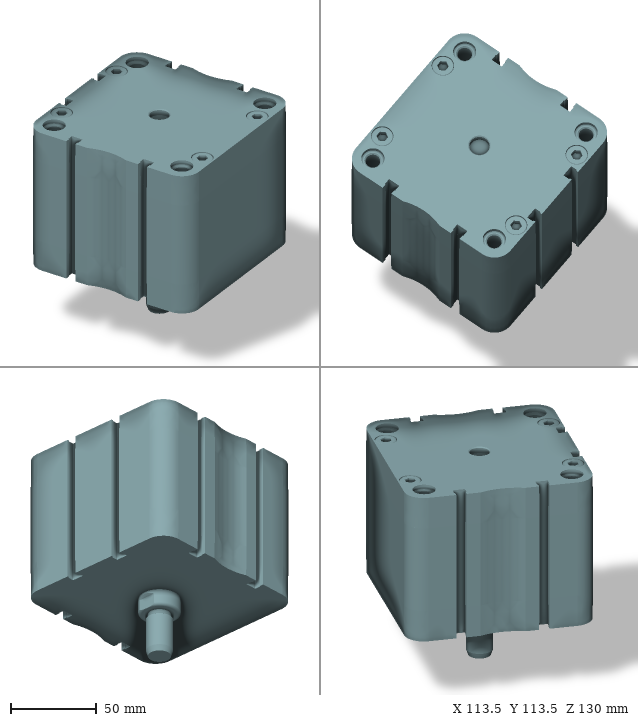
import cadquery as cq
import math

TOTAL_LENGTH = 130.0
BODY_WIDTH = 113.5
BODY_LENGTH = 92.0
CAP_LENGTH = 19.5
CAP_DRAFT = 0.5
CORNER_RADIUS = 12.0
HALF_WIDTH = BODY_WIDTH / 2

BODY_BOTTOM = TOTAL_LENGTH - BODY_LENGTH
LOWER_SEAM = BODY_BOTTOM + CAP_LENGTH
UPPER_SEAM = TOTAL_LENGTH - CAP_LENGTH
BARREL_LENGTH = UPPER_SEAM - LOWER_SEAM

DEEP_SLOT_OFFSET = 25.0
DEEP_SLOT_MOUTH = 6.0
DEEP_SLOT_INSIDE = 7.0
DEEP_SLOT_DEPTH = 6.9
DEEP_LIP_DEPTH = 3.1
SHALLOW_SLOT_OFFSET = 17.5
SHALLOW_SLOT_MOUTH = 5.8
SHALLOW_SLOT_INSIDE = 7.3
SHALLOW_SLOT_DEPTH = 5.5
SHALLOW_LIP_DEPTH = 1.7

FLUTE_WIDTH = 27.0
FLUTE_DEPTH = 2.5

MOUNT_OFFSET = 44.5
MOUNT_BORE_DIAMETER = 13.5
MOUNT_BORE_DEPTH = 2.5
MOUNT_SINK_DIAMETER = 10.1
MOUNT_HOLE_DIAMETER = 8.6

SCREW_X = 49.0
SCREW_Y = 29.4
SCREW_BORE_DIAMETER = 13.1
SCREW_HEAD_DIAMETER = 12.7
SCREW_HEAD_CHAMFER = 0.4
SCREW_HEAD_RECESS = 0.3
SCREW_GAP_DEPTH = 1.3
SOCKET_ACROSS_FLATS = 6.0
SOCKET_DEPTH = 3.9
SOCKET_SIDES = 6
SOCKET_TURN = 30

CENTRE_HOLE_DIAMETER = 12.0
CENTRE_HOLE_DEPTH = 3.9
CENTRE_SINK_DIAMETER = 13.1

ROD_DIAMETER = 25.0
ROD_EXPOSED_LENGTH = 10.3
ROD_EDGE_RADIUS = 1.8
FLATS_ACROSS = 22.0
FLATS_LENGTH = 7.5
NECK_DIAMETER = 14.0
NECK_LENGTH = 3.2
NECK_CONE_LENGTH = 0.6
THREAD_DIAMETER = 16.0
TIP_DIAMETER = 13.5
TIP_LENGTH = 3.5


def slot_cutter(mouth_width, inside_width, depth, lip_depth):
    """A T-slot sunk from the plane Y = 0 towards -Y, as long as the barrel."""
    mouth = cq.Workplane("XY").rect(mouth_width, 2 * depth).extrude(BARREL_LENGTH)
    inside = (
        cq.Workplane("XY")
        .center(0, -(depth + lip_depth) / 2)
        .rect(inside_width, depth - lip_depth)
        .extrude(BARREL_LENGTH)
    )
    return mouth.union(inside)


def flute_cutter():
    """The round-bottomed flute sunk from the plane Y = 0 towards -Y."""
    return (
        cq.Workplane("XY")
        .moveTo(-FLUTE_WIDTH / 2, 0)
        .threePointArc((0, -FLUTE_DEPTH), (FLUTE_WIDTH / 2, 0))
        .close()
        .extrude(BARREL_LENGTH)
    )


def on_face(cutter, offset, turn):
    """Move a cutter onto the +Y face, then turn it about Z to the face it cuts."""
    return cutter.translate((offset, HALF_WIDTH, 0)).rotate((0, 0, 0), (0, 0, 1), turn)


def make_barrel():
    barrel = cq.Workplane("XY").rect(BODY_WIDTH, BODY_WIDTH).extrude(BARREL_LENGTH)
    barrel = barrel.edges("|Z").fillet(CORNER_RADIUS)
    deep_slot = slot_cutter(DEEP_SLOT_MOUTH, DEEP_SLOT_INSIDE, DEEP_SLOT_DEPTH, DEEP_LIP_DEPTH)
    shallow_slot = slot_cutter(SHALLOW_SLOT_MOUTH, SHALLOW_SLOT_INSIDE, SHALLOW_SLOT_DEPTH, SHALLOW_LIP_DEPTH)
    flute = flute_cutter()
    for turn in (0, 180):
        barrel = barrel.cut(on_face(flute, 0, turn))
        for offset in (-DEEP_SLOT_OFFSET, DEEP_SLOT_OFFSET):
            barrel = barrel.cut(on_face(deep_slot, offset, turn))
    for offset in (-SHALLOW_SLOT_OFFSET, SHALLOW_SLOT_OFFSET):
        barrel = barrel.cut(on_face(shallow_slot, offset, 90))
    return barrel.translate((0, 0, LOWER_SEAM))


def mirrored_points(x, y):
    return [(sx * x, sy * y) for sx in (-1, 1) for sy in (-1, 1)]


def countersink(sink_diameter, hole_diameter, top_z):
    """A 45 degree cone from the sink diameter at top_z down to the hole diameter."""
    depth = (sink_diameter - hole_diameter) / 2
    return cq.Workplane("XY").add(
        cq.Solid.makeCone(hole_diameter / 2, sink_diameter / 2, depth, cq.Vector(0, 0, top_z - depth))
    )


def hole_cutter(diameter, depth):
    return cq.Workplane("XY", origin=(0, 0, TOTAL_LENGTH)).circle(diameter / 2).extrude(-depth)


def mounting_hole_cutter():
    bore = hole_cutter(MOUNT_BORE_DIAMETER, MOUNT_BORE_DEPTH)
    sink = countersink(MOUNT_SINK_DIAMETER, MOUNT_HOLE_DIAMETER, TOTAL_LENGTH - MOUNT_BORE_DEPTH)
    return bore.union(sink).union(hole_cutter(MOUNT_HOLE_DIAMETER, CAP_LENGTH))


def screw_cutter():
    """The ring around a screw head, the recess above the head and its hexagon socket."""
    head = cq.Workplane("XY", origin=(0, 0, TOTAL_LENGTH - SCREW_GAP_DEPTH))
    head = head.circle(SCREW_HEAD_DIAMETER / 2).extrude(SCREW_GAP_DEPTH - SCREW_HEAD_RECESS)
    head = head.faces(">Z").chamfer(SCREW_HEAD_CHAMFER)
    across_corners = SOCKET_ACROSS_FLATS / math.cos(math.pi / SOCKET_SIDES)
    socket = (
        cq.Workplane("XY", origin=(0, 0, TOTAL_LENGTH))
        .polygon(SOCKET_SIDES, across_corners)
        .extrude(-SOCKET_DEPTH)
        .rotate((0, 0, 0), (0, 0, 1), SOCKET_TURN)
    )
    return hole_cutter(SCREW_BORE_DIAMETER, SCREW_GAP_DEPTH).cut(head).union(socket)


def centre_hole_cutter():
    sink = countersink(CENTRE_SINK_DIAMETER, CENTRE_HOLE_DIAMETER, TOTAL_LENGTH)
    return hole_cutter(CENTRE_HOLE_DIAMETER, CENTRE_HOLE_DEPTH).union(sink)


def make_cap_blank():
    """A rear cap without holes: the barrel outline, tapering up from the upper seam."""
    outline = make_barrel().faces(">Z").wires().toPending()
    return outline.workplane().extrude(CAP_LENGTH, combine=False, taper=CAP_DRAFT)


def make_rear_cap():
    cap = make_cap_blank()
    mounting_hole = mounting_hole_cutter()
    for x, y in mirrored_points(MOUNT_OFFSET, MOUNT_OFFSET):
        cap = cap.cut(mounting_hole.translate((x, y, 0)))
    screw = screw_cutter()
    for x, y in mirrored_points(SCREW_X, SCREW_Y):
        cap = cap.cut(screw.translate((x, y, 0)))
    return cap.cut(centre_hole_cutter())


def make_front_cap():
    body_middle = (LOWER_SEAM + UPPER_SEAM) / 2
    cap = make_cap_blank().mirror("XY", (0, 0, body_middle))
    bore = cq.Workplane("XY", origin=(0, 0, BODY_BOTTOM)).circle(ROD_DIAMETER / 2).extrude(CAP_LENGTH)
    return cap.cut(bore)


def make_rod():
    collar_bottom = BODY_BOTTOM - ROD_EXPOSED_LENGTH
    neck_bottom = collar_bottom - NECK_LENGTH
    rod_radius = ROD_DIAMETER / 2
    edge_centre = (rod_radius - ROD_EDGE_RADIUS, collar_bottom + ROD_EDGE_RADIUS)
    edge_reach = ROD_EDGE_RADIUS * math.sqrt(0.5)
    rod = (
        cq.Workplane("XZ")
        .lineTo(TIP_DIAMETER / 2, 0)
        .lineTo(THREAD_DIAMETER / 2, TIP_LENGTH)
        .lineTo(THREAD_DIAMETER / 2, neck_bottom)
        .lineTo(NECK_DIAMETER / 2, neck_bottom + NECK_CONE_LENGTH)
        .lineTo(NECK_DIAMETER / 2, collar_bottom)
        .lineTo(edge_centre[0], collar_bottom)
        .threePointArc(
            (edge_centre[0] + edge_reach, edge_centre[1] - edge_reach),
            (rod_radius, edge_centre[1]),
        )
        .lineTo(rod_radius, LOWER_SEAM)
        .lineTo(0, LOWER_SEAM)
        .close()
        .revolve(360, (0, 0, 0), (0, 1, 0))
    )
    flat_depth = rod_radius - FLATS_ACROSS / 2
    flat_top = collar_bottom + FLATS_LENGTH
    flat = (
        cq.Workplane("XZ")
        .polyline([
            (FLATS_ACROSS / 2, collar_bottom),
            (rod_radius, collar_bottom),
            (rod_radius, flat_top + flat_depth),
            (FLATS_ACROSS / 2, flat_top),
        ])
        .close()
        .extrude(rod_radius, both=True)
    )
    return rod.cut(flat).cut(flat.mirror("YZ"))


rear_cap = make_rear_cap()
barrel = make_barrel()
front_cap = make_front_cap()
rod = make_rod()

result = cq.Compound.makeCompound([rear_cap.val(), barrel.val(), front_cap.val(), rod.val()])